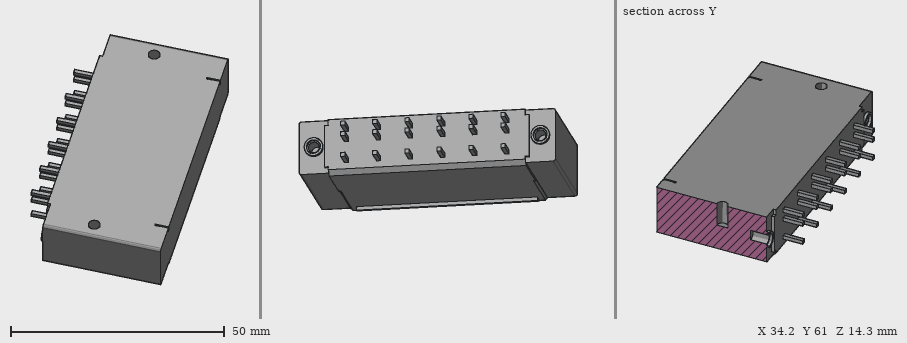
import cadquery as cq

part_end = 34.25
total_width = 60.95
pin_length = 5.0
front_face = pin_length

core_width = 46.8
core_half = core_width / 2
core_height = 13.5
front_chamfer_length = 1.1
front_chamfer_height = 1.2

flange_width = 48.65
flange_top = -1.4
flange_height = 10.1

block_front = 5.7
block_height = 12.85
block_edge_radius = 0.6
block_length = part_end - block_front
block_width = (total_width - core_width) / 2

boss_spacing = 53.9
boss_z = -6.4
boss_radius = 2.2
boss_recess_radius = 1.65
boss_recess_depth = 0.75
boss_hole_radius = 1.3
boss_hole_depth = 4.9

top_hole_x = 17.25
top_hole_diameter = 2.75
top_hole_depth = 6.1

pin_size = 1.0
pin_columns = 6
pin_pitch = 7.6
pin_rows = (-2.6, -5.1, -10.25)
pin_embed = 1.2

lip_width = 43.0
lip_height = 0.85
lip_length = 3.0
lip_flat = 0.75

cove_start = 18.55
cove_radius = 0.5

notch_start = 30.95
notch_ramp_length = 1.95
notch_depth = 1.2
notch_width = 0.35


def extrude_across(outline, width):
    """Extrude a closed X-Z outline symmetrically about Y = 0."""
    return cq.Workplane("XZ").polyline(outline).close().extrude(width / 2, both=True)


def box_from(x, y_center, z_top, length, width, height):
    """Box given by its front X, its middle Y and its top Z."""
    return (
        cq.Workplane("XY")
        .box(length, width, height, centered=(False, True, False))
        .translate((x, y_center, z_top - height))
    )


def cylinder_along_x(x, y, z, radius, length):
    return cq.Workplane("YZ", origin=(x, 0, 0)).center(y, z).circle(radius).extrude(length)


def make_core():
    outline = [
        (front_face, 0),
        (part_end, 0),
        (part_end, -core_height),
        (front_face + front_chamfer_length, -core_height),
        (front_face, -core_height + front_chamfer_height),
    ]
    core = extrude_across(outline, core_width)
    for side in (-1, 1):
        core = core.cut(make_cove(side)).cut(make_notch(side))
    return core


def make_cove(side):
    cove_length = part_end - cove_start
    return cylinder_along_x(cove_start, side * core_half, -core_height, cove_radius, cove_length)


def make_notch(side):
    outline = [
        (notch_start, 0),
        (part_end, 0),
        (part_end, -notch_depth),
        (notch_start + notch_ramp_length, -notch_depth),
    ]
    return extrude_across(outline, 2 * notch_width).translate((0, side * core_half, 0))


def make_lip():
    lip_start = part_end - lip_length
    lip_bottom = -core_height - lip_height
    outline = [
        (lip_start, -core_height),
        (part_end, -core_height),
        (lip_start + lip_flat, lip_bottom),
        (lip_start, lip_bottom),
    ]
    return extrude_across(outline, lip_width)


def make_end_block(side):
    block_y = side * (core_half + block_width / 2)
    block = box_from(block_front, block_y, 0, block_length, block_width, block_height)
    outer_face = ">Y" if side > 0 else "<Y"
    block = block.faces(outer_face).edges("|X").fillet(block_edge_radius)

    boss_y = side * boss_spacing / 2
    boss = cylinder_along_x(front_face, boss_y, boss_z, boss_radius, block_front - front_face)
    recess = cylinder_along_x(front_face, boss_y, boss_z, boss_recess_radius, boss_recess_depth)
    screw_hole = cylinder_along_x(front_face, boss_y, boss_z, boss_hole_radius, boss_hole_depth)
    top_hole = (
        cq.Workplane("XY")
        .center(top_hole_x, side * boss_spacing / 2)
        .circle(top_hole_diameter / 2)
        .extrude(-top_hole_depth)
    )
    return block.union(boss).cut(recess).cut(screw_hole).cut(top_hole)


def make_pin(y, z):
    return box_from(0, y, z + pin_size / 2, pin_length + pin_embed, pin_size, pin_size)


flange = box_from(front_face, 0, flange_top, block_front - front_face, flange_width, flange_height)
result = make_core().union(make_lip()).union(flange)

for side in (-1, 1):
    result = result.union(make_end_block(side))

for column in range(pin_columns):
    pin_y = (column - (pin_columns - 1) / 2) * pin_pitch
    for pin_z in pin_rows:
        result = result.union(make_pin(pin_y, pin_z))